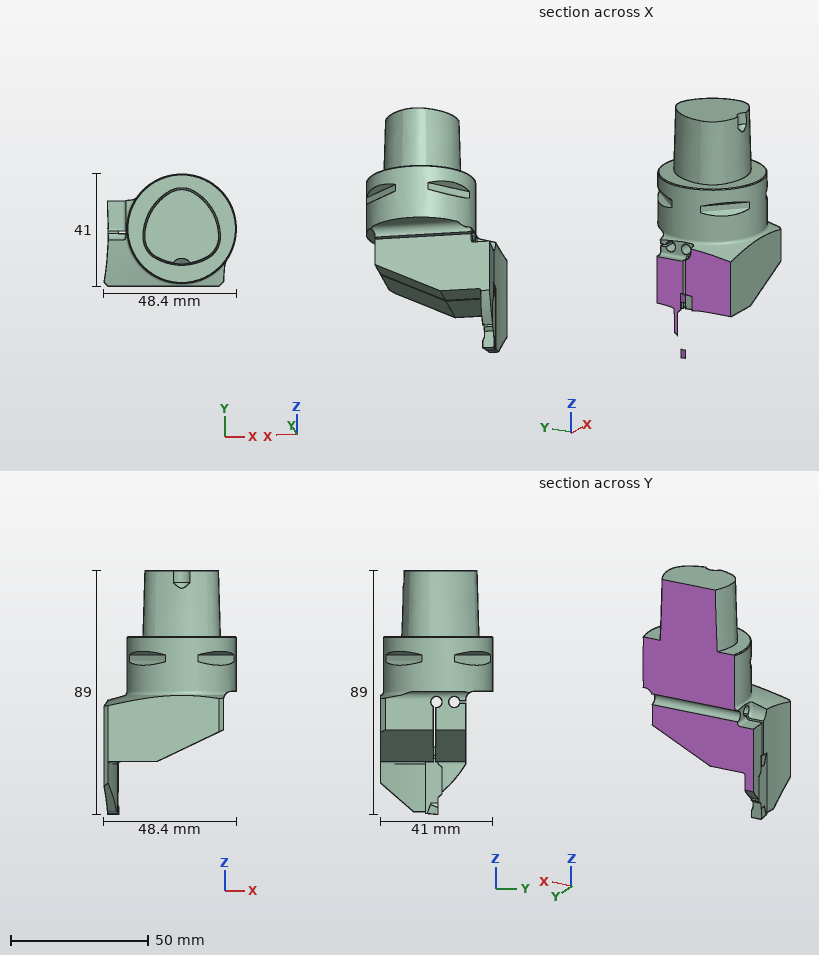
import cadquery as cq
import math


SHANK_LENGTH = 24.0
SHANK_MEAN_RADIUS = 14.15
SHANK_LOBE_HEIGHT = 0.8
SHANK_TOP_INSET = 0.7
NOTCH_RADIUS = 3.6
NOTCH_AXIS_Y = -14.3
NOTCH_DEPTH = 4.4

FLANGE_DIAMETER = 40.0
FLANGE_RADIUS = FLANGE_DIAMETER / 2
FLANGE_THICKNESS = 20.0
FLANGE_CHAMFER = 0.4
GROOVE_COUNT = 4
GROOVE_CENTER_Z = -7.9
GROOVE_FLAT_RADIUS = 17.7
GROOVE_FLAT_WIDTH = 2.5
GROOVE_FLANK_ANGLE = 30.0
GROOVE_ROOT_FILLET = 0.4

HOLDER_DEPTH = 41.0
BODY_FRONT_Y = FLANGE_RADIUS - HOLDER_DEPTH
BODY_BACK_Y = 10.15
BODY_RIGHT_X = 15.3
BODY_BOTTOM_Z = -45.6
BODY_SLOPE_START_X = -8.9
BODY_SLOPE_END_Z = -34.0
BODY_RIGHT_CHAMFER = 1.8
BODY_FLARE_RADIUS = 2.85
SHOULDER_ANGLE = 16.0
NECK_LENGTH = 0.2
NECK_FILLET = 1.25

OUTER_ARC_APEX_X = -26.8
OUTER_ARC_RADIUS = 116.6
OUTER_ARC_CENTER_Y = -0.5
OUTER_ARC_END_Y = 8.0
BLADE_CORNER_Y = -19.6
INNER_ARC_APEX_X = -23.05
INNER_ARC_RADIUS = 60.5
BLADE_ROOT_FILLET = 0.9
BLADE_BOTTOM_Z = -63.9
BLADE_BOTTOM_FRONT_Y = -9.0
BLADE_FRONT_BOTTOM_Z = -53.4
ARM_BACK_BOTTOM_Z = -46.4
ARM_TIP_Z = -56.7
ARM_EDGE_MIDDLE = (5.5, -52.7)

HOLE_DIAMETER = 4.0
HOLE_Z = -23.85
BACK_HOLE_Y = 5.9
FRONT_HOLE_Y = -0.6
BACK_SLIT_WIDTH = 0.8
CLAMP_SLIT_WIDTH = 0.9
CLAMP_SLIT_Y = -1.3

RECESS_FACE_X = -20.4
RECESS_FLOOR_Z = -27.5
RECESS_FRONT_Y = -4.2
RECESS_CORNER_RADIUS = 4.4
RECESS_FILLET = 1.1

INSERT_TOP_Z = -40.1
INSERT_BOTTOM_Z = -65.0
INSERT_MIDDLE_Z = (INSERT_TOP_Z + INSERT_BOTTOM_Z) / 2
INSERT_HALF_LENGTH = (INSERT_TOP_Z - INSERT_BOTTOM_Z) / 2
INSERT_RAKE_Y = 0.0
INSERT_SEAT_Y = -4.6
INSERT_RIDGE_Y = 1.4
INSERT_RIDGE_HALF_LENGTH = 4.9
INSERT_RIDGE_RUN = 1.25
INSERT_END_RELIEF = 0.45
INSERT_OUTER_X = OUTER_ARC_APEX_X
INSERT_INNER_X = -23.5
HEAD_OUTER_X = -27.0
HEAD_INNER_X = -22.8
HEAD_LENGTH = 4.3
HEAD_FLARE_LENGTH = 1.7
HEAD_DEPTH = 4.0
HEAD_BACK_DEPTH = 2.6

MARGIN = 53.4
BLANK_HALF_WIDTH = 26.7


def slab_yz(profile, x_start, x_end):
    """Extrude a closed Workplane profile drawn on the YZ plane from x_start to x_end."""
    return profile.extrude(x_end - x_start).translate((x_start, 0, 0))


def make_shank():
    tip_distance = SHANK_MEAN_RADIUS + SHANK_LOBE_HEIGHT
    flat_distance = SHANK_MEAN_RADIUS - SHANK_LOBE_HEIGHT
    lobe_center = (tip_distance - flat_distance) / (2 - math.sqrt(3))
    lobe_radius = tip_distance - lobe_center

    def on_lobe(lobe_angle, turn):
        angle = math.radians(lobe_angle)
        normal = math.radians(lobe_angle + turn)
        return (
            lobe_center * math.cos(angle) + lobe_radius * math.cos(normal),
            lobe_center * math.sin(angle) + lobe_radius * math.sin(normal),
        )

    section = cq.Workplane("XY").moveTo(*on_lobe(90, -30))
    for lobe_angle in (90, 210, 330):
        flat_angle = math.radians(lobe_angle + 60)
        flat_middle = (flat_distance * math.cos(flat_angle), flat_distance * math.sin(flat_angle))
        section = section.threePointArc(on_lobe(lobe_angle, 0), on_lobe(lobe_angle, 30))
        section = section.threePointArc(flat_middle, on_lobe(lobe_angle + 120, -30))
    taper = math.degrees(math.atan(SHANK_TOP_INSET / SHANK_LENGTH))
    shank = section.close().extrude(SHANK_LENGTH, taper=taper)
    return shank.cut(make_shank_notch())


def make_shank_notch():
    floor_z = SHANK_LENGTH - NOTCH_DEPTH
    return (
        cq.Workplane("XZ")
        .moveTo(0, floor_z - NOTCH_RADIUS)
        .lineTo(NOTCH_RADIUS, floor_z)
        .lineTo(NOTCH_RADIUS, SHANK_LENGTH)
        .lineTo(0, SHANK_LENGTH)
        .close()
        .revolve(360, (0, 0, 0), (0, 1, 0))
        .translate((0, NOTCH_AXIS_Y, 0))
    )


def make_flange():
    flange = (
        cq.Workplane("XY")
        .circle(FLANGE_RADIUS)
        .extrude(-FLANGE_THICKNESS)
        .faces(">Z")
        .chamfer(FLANGE_CHAMFER)
    )
    depth = FLANGE_RADIUS - GROOVE_FLAT_RADIUS
    half_floor = GROOVE_FLAT_WIDTH / 2
    half_mouth = half_floor + depth * math.tan(math.radians(GROOVE_FLANK_ANGLE))
    groove = (
        cq.Workplane("XZ")
        .polyline([
            (GROOVE_FLAT_RADIUS, GROOVE_CENTER_Z - half_floor),
            (GROOVE_FLAT_RADIUS, GROOVE_CENTER_Z + half_floor),
            (FLANGE_RADIUS, GROOVE_CENTER_Z + half_mouth),
            (FLANGE_RADIUS, GROOVE_CENTER_Z - half_mouth),
        ])
        .close()
        .extrude(FLANGE_RADIUS, both=True)
        .faces("<X")
        .edges("<Z")
        .fillet(GROOVE_ROOT_FILLET)
    )
    step = 360 / GROOVE_COUNT
    for i in range(GROOVE_COUNT):
        flange = flange.cut(groove.rotate((0, 0, 0), (0, 0, 1), step * (i + 0.5)))
    return flange


def make_body_and_blade():
    """Blank of the body and of the blade, which ends at the inner arc and is filleted at its root."""
    top_z = -FLANGE_THICKNESS
    flare = BODY_FLARE_RADIUS
    flare_dip = flare * (1 - math.sqrt(0.5))
    body = (
        cq.Workplane("XZ")
        .moveTo(-MARGIN, top_z)
        .lineTo(BODY_RIGHT_X + flare, top_z)
        .threePointArc((BODY_RIGHT_X + flare_dip, top_z - flare_dip), (BODY_RIGHT_X, top_z - flare))
        .lineTo(BODY_RIGHT_X, BODY_SLOPE_END_Z)
        .lineTo(BODY_SLOPE_START_X, BODY_BOTTOM_Z)
        .lineTo(-MARGIN, BODY_BOTTOM_Z)
        .close()
        .extrude(BLANK_HALF_WIDTH, both=True)
    )
    arc_rise = INNER_ARC_RADIUS - math.sqrt(INNER_ARC_RADIUS**2 - BLANK_HALF_WIDTH**2)
    arc_end_x = INNER_ARC_APEX_X - arc_rise
    blade = (
        cq.Workplane("XY", origin=(0, 0, top_z))
        .moveTo(-MARGIN, -BLANK_HALF_WIDTH)
        .lineTo(arc_end_x, -BLANK_HALF_WIDTH)
        .threePointArc((INNER_ARC_APEX_X, 0), (arc_end_x, BLANK_HALF_WIDTH))
        .lineTo(-MARGIN, BLANK_HALF_WIDTH)
        .close()
        .extrude(BLADE_BOTTOM_Z - top_z)
    )
    reach = BLADE_ROOT_FILLET
    root = cq.selectors.BoxSelector(
        (-MARGIN, -MARGIN, BODY_BOTTOM_Z - reach),
        (INNER_ARC_APEX_X + reach, MARGIN, BODY_BOTTOM_Z + reach),
    )
    return body.union(blade).edges(root).edges("%CIRCLE").fillet(BLADE_ROOT_FILLET)


def make_plan_outline():
    """Outline in XY: curved outer face, chamfered front corners, open to the back and right."""

    def outer_face_x(y):
        rise = OUTER_ARC_RADIUS - math.sqrt(OUTER_ARC_RADIUS**2 - (y - OUTER_ARC_CENTER_Y) ** 2)
        return OUTER_ARC_APEX_X - rise

    corner_x = outer_face_x(BLADE_CORNER_Y)
    corner_chamfer = BLADE_CORNER_Y - BODY_FRONT_Y
    arc_end_x = outer_face_x(OUTER_ARC_END_Y)
    chamfer_start_x = BODY_RIGHT_X - BODY_RIGHT_CHAMFER
    chamfer_reach = BODY_RIGHT_CHAMFER + BODY_FLARE_RADIUS
    right_x = chamfer_start_x + chamfer_reach
    back_y = BODY_BACK_Y + BODY_FLARE_RADIUS
    return (
        cq.Workplane("XY", origin=(0, 0, -FLANGE_THICKNESS))
        .moveTo(arc_end_x, back_y)
        .lineTo(arc_end_x, OUTER_ARC_END_Y)
        .threePointArc((OUTER_ARC_APEX_X, OUTER_ARC_CENTER_Y), (corner_x, BLADE_CORNER_Y))
        .lineTo(corner_x + corner_chamfer, BODY_FRONT_Y)
        .lineTo(chamfer_start_x, BODY_FRONT_Y)
        .lineTo(right_x, BODY_FRONT_Y + chamfer_reach)
        .lineTo(right_x, back_y)
        .close()
        .extrude(-MARGIN)
    )


def make_side_outline():
    """Outline in YZ: flared back wall, rounded arm edge and slanted front blade edge."""
    top_z = -FLANGE_THICKNESS
    flare = BODY_FLARE_RADIUS
    flare_dip = flare * (1 - math.sqrt(0.5))
    profile = (
        cq.Workplane("YZ")
        .moveTo(BODY_FRONT_Y, top_z)
        .lineTo(BODY_FRONT_Y, BLADE_FRONT_BOTTOM_Z)
        .lineTo(BLADE_BOTTOM_FRONT_Y, BLADE_BOTTOM_Z)
        .lineTo(INSERT_SEAT_Y, BLADE_BOTTOM_Z)
        .lineTo(INSERT_RIDGE_Y, ARM_TIP_Z)
        .threePointArc(ARM_EDGE_MIDDLE, (BODY_BACK_Y, ARM_BACK_BOTTOM_Z))
        .lineTo(BODY_BACK_Y, top_z - flare)
        .threePointArc((BODY_BACK_Y + flare_dip, top_z - flare_dip), (BODY_BACK_Y + flare, top_z))
        .close()
    )
    return slab_yz(profile, -MARGIN, MARGIN)


def make_shoulder():
    """Revolved envelope: straight neck, blended by a fillet into the conical shoulder."""
    top_z = -FLANGE_THICKNESS
    angle = math.radians(SHOULDER_ANGLE)
    middle = (math.radians(90) + angle) / 2
    fillet_center_r = FLANGE_RADIUS + NECK_FILLET
    fillet_end_r = fillet_center_r - NECK_FILLET * math.sin(angle)
    fillet_start_z = top_z - NECK_LENGTH
    fillet_end_z = fillet_start_z - NECK_FILLET * math.cos(angle)
    fillet_middle = (
        fillet_center_r - NECK_FILLET * math.sin(middle),
        fillet_start_z - NECK_FILLET * math.cos(middle),
    )
    cone_drop = (MARGIN - fillet_end_r) * math.tan(angle)
    return (
        cq.Workplane("XZ")
        .moveTo(0, top_z)
        .lineTo(FLANGE_RADIUS, top_z)
        .lineTo(FLANGE_RADIUS, fillet_start_z)
        .threePointArc(fillet_middle, (fillet_end_r, fillet_end_z))
        .lineTo(MARGIN, fillet_end_z - cone_drop)
        .lineTo(MARGIN, -2 * MARGIN)
        .lineTo(0, -2 * MARGIN)
        .close()
        .revolve(360, (0, 0, 0), (0, 1, 0))
    )


def make_recess():
    corner_y = RECESS_FRONT_Y + RECESS_CORNER_RADIUS
    corner_z = RECESS_FLOOR_Z + RECESS_CORNER_RADIUS
    corner_reach = RECESS_CORNER_RADIUS * math.sqrt(0.5)
    profile = (
        cq.Workplane("YZ")
        .moveTo(RECESS_FRONT_Y, 0)
        .lineTo(RECESS_FRONT_Y, corner_z)
        .threePointArc((corner_y - corner_reach, corner_z - corner_reach), (corner_y, RECESS_FLOOR_Z))
        .lineTo(MARGIN, RECESS_FLOOR_Z)
        .lineTo(MARGIN, 0)
        .close()
    )
    block = slab_yz(profile, -MARGIN, RECESS_FACE_X)
    floor_edges = block.faces(">X").edges("not(>Z or >Y)")
    return floor_edges.fillet(RECESS_FILLET)


def make_hinge_cuts():
    holes = slab_yz(
        cq.Workplane("YZ")
        .pushPoints([(BACK_HOLE_Y, HOLE_Z), (FRONT_HOLE_Y, HOLE_Z)])
        .circle(HOLE_DIAMETER / 2),
        -MARGIN,
        MARGIN,
    )
    back_slit = cq.Workplane("XY").box(
        2 * MARGIN, MARGIN, BACK_SLIT_WIDTH, centered=(True, False, True)
    )
    clamp_slit = cq.Workplane("XY").box(
        2 * MARGIN, CLAMP_SLIT_WIDTH, MARGIN, centered=(True, True, False)
    )
    return (
        holes
        .union(back_slit.translate((0, BACK_HOLE_Y, HOLE_Z)))
        .union(clamp_slit.translate((0, CLAMP_SLIT_Y, HOLE_Z - MARGIN)))
    )


def insert_profile():
    """Side profile of the insert in YZ, symmetric about its middle height."""
    ridge = INSERT_RIDGE_HALF_LENGTH
    ridge_foot = ridge + INSERT_RIDGE_RUN
    seat_half = INSERT_HALF_LENGTH - INSERT_END_RELIEF
    half = [
        (INSERT_RIDGE_Y, ridge),
        (INSERT_RAKE_Y, ridge_foot),
        (INSERT_RAKE_Y, INSERT_HALF_LENGTH),
        (INSERT_SEAT_Y, seat_half),
    ]
    mirrored = [(y, -z) for y, z in reversed(half)]
    return cq.Workplane("YZ", origin=(0, 0, INSERT_MIDDLE_Z)).polyline(half + mirrored).close()


def make_insert_pocket():
    return slab_yz(insert_profile(), -MARGIN, HEAD_INNER_X)


def make_cutting_head():
    """Widened lower cutting end, relieved in width and length towards the seat side."""
    back_y = INSERT_RAKE_Y - HEAD_DEPTH
    end_z = INSERT_BOTTOM_Z
    start_z = end_z + HEAD_LENGTH
    full_z = start_z - HEAD_FLARE_LENGTH
    tip_z = end_z + INSERT_END_RELIEF * HEAD_DEPTH / (INSERT_RAKE_Y - INSERT_SEAT_Y)
    width_outline = (
        cq.Workplane("XZ", origin=(0, INSERT_RAKE_Y, 0))
        .polyline([
            (INSERT_INNER_X, start_z),
            (HEAD_INNER_X, full_z),
            (HEAD_INNER_X, end_z),
            (HEAD_OUTER_X, end_z),
            (HEAD_OUTER_X, start_z),
        ])
        .close()
        .extrude(HEAD_DEPTH)
    )
    depth_outline = cq.Workplane("YZ").polyline([
        (INSERT_RAKE_Y, start_z),
        (INSERT_RAKE_Y - HEAD_BACK_DEPTH, start_z),
        (back_y, tip_z),
        (INSERT_RAKE_Y, end_z),
    ]).close()
    side_relief = (
        cq.Workplane("XY", origin=(0, 0, end_z))
        .polyline([
            (HEAD_OUTER_X, INSERT_RAKE_Y),
            (HEAD_INNER_X, INSERT_RAKE_Y),
            (INSERT_INNER_X, back_y),
            (INSERT_OUTER_X, back_y),
        ])
        .close()
        .extrude(HEAD_LENGTH)
    )
    return width_outline.intersect(slab_yz(depth_outline, -MARGIN, MARGIN)).intersect(side_relief)


def make_insert():
    shank = slab_yz(insert_profile(), INSERT_OUTER_X, INSERT_INNER_X)
    lower_head = make_cutting_head()
    upper_head = lower_head.mirror("XY", (0, 0, INSERT_MIDDLE_Z))
    return shank.union(lower_head).union(upper_head)


def make_holder():
    body = (
        make_body_and_blade()
        .intersect(make_plan_outline())
        .intersect(make_side_outline())
        .intersect(make_shoulder())
        .cut(make_recess())
        .cut(make_hinge_cuts())
        .cut(make_insert_pocket())
    )
    return make_shank().union(make_flange()).union(body)


holder = make_holder()
insert = make_insert()

result = cq.Compound.makeCompound([holder.solids().val(), insert.solids().val()])